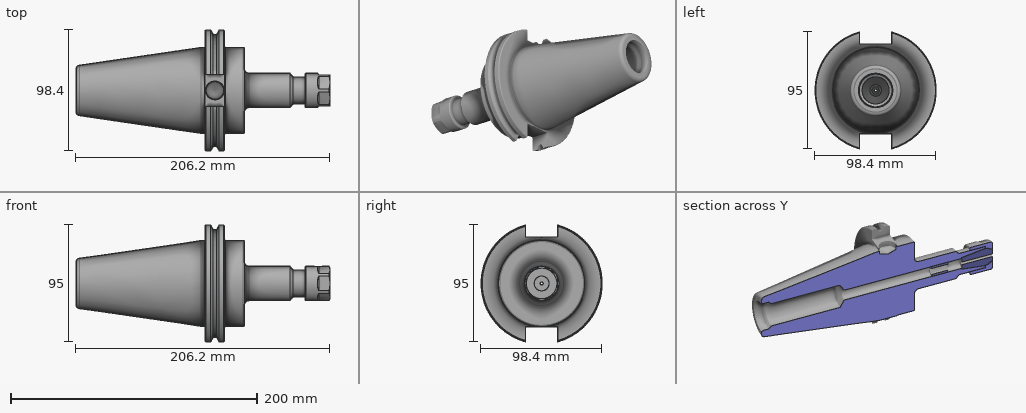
import cadquery as cq
import math


gauge_radius = 69.85 / 2
taper_length = 101.6
taper_ratio = 7 / 24
taper_end_fillet = 3.0
taper_end_radius = gauge_radius - taper_length * taper_ratio / 2
taper_angle = math.atan(taper_ratio / 2)

flange_start = 3.175
flange_end = 19.05
flange_radius = 98.43 / 2
flange_chamfer_rear = 0.6
flange_chamfer_front = 1.0
flange_base_fillet = 0.6
groove_middle = 11.13
groove_floor_radius = 45.6
groove_floor_half_width = 1.4
groove_half_angle = math.radians(30)
groove_half_width = groove_floor_half_width + (flange_radius - groove_floor_radius) * math.tan(groove_half_angle)

slot_width = 25.8
upper_slot_height = 37.72
lower_slot_height = 35.31
dimple_radius = 14.3 / 2
dimple_depth = 5.4
dimple_chamfer = 0.45
dimple_tip_half_angle = math.radians(70)

shoulder_radius = gauge_radius
shoulder_end = 35.0
shoulder_fillet = 0.9
nose_radius = 14.0
nose_fillet = 3.9
nose_end = 72.0
neck_radius = 11.0
neck_start = 74.6

nut_start = 84.3
nut_end = 104.65
nut_radius = nose_radius
nut_rear_chamfer = 0.6
nut_front_chamfer_angle = math.radians(30)
nut_front_face_radius = 12.4
nut_front_chamfer = (nut_radius - nut_front_face_radius) * math.tan(nut_front_chamfer_angle)
hex_across_flats = 25.4
hex_flat_start = 95.5
hex_sides = 6

collet_length = 27.5
collet_start = nut_end - collet_length
collet_rear_radius = 10.97 / 2
collet_radius = 17.01 / 2
collet_face_radius = 12.04 / 2
collet_bore_radius = 2.29 / 2
seat_half_angle = math.radians(8)
collet_front_half_angle = math.radians(30)
seat_end = collet_start + (collet_radius - collet_rear_radius) / math.tan(seat_half_angle)
collet_front_start = nut_end - (collet_radius - collet_face_radius) / math.tan(collet_front_half_angle)

stud_counterbore_radius = 13.3
stud_counterbore_depth = 6.4
stud_mouth_radius = 14.0
stud_mouth_depth = 2.3
stud_bore_radius = 21.97 / 2
stud_bore_depth = 70.0
drill_half_angle = math.radians(59)
screw_radius = 9.46 / 2

screw_start = 50.0
screw_length = 15.0
socket_across_flats = 5.56


def revolve_about_x(points):
    """Closed outline of (x, radius) points turned about the X axis."""
    return cq.Workplane("XY").polyline(points).close().revolve(360, (0, 0, 0), (1, 0, 0))


def holder_outside():
    tangent_length = taper_end_fillet * math.tan((math.pi / 2 - taper_angle) / 2)
    fillet_centre = (-taper_length + taper_end_fillet, taper_end_radius - tangent_length)
    arc_middle_angle = (math.pi + math.pi / 2 + taper_angle) / 2
    arc_middle = (
        fillet_centre[0] + taper_end_fillet * math.cos(arc_middle_angle),
        fillet_centre[1] + taper_end_fillet * math.sin(arc_middle_angle),
    )
    arc_end = (
        -taper_length + tangent_length * math.cos(taper_angle),
        taper_end_radius + tangent_length * math.sin(taper_angle),
    )
    arc_middle_inset = 1 - math.sqrt(0.5)
    base_inset = flange_base_fillet * arc_middle_inset
    shoulder_inset = shoulder_fillet * arc_middle_inset
    nose_inset = nose_fillet * arc_middle_inset
    return (
        cq.Workplane("XY")
        .moveTo(-taper_length, 0)
        .lineTo(-taper_length, fillet_centre[1])
        .threePointArc(arc_middle, arc_end)
        .lineTo(0, gauge_radius)
        .lineTo(flange_start - flange_base_fillet, gauge_radius)
        .threePointArc(
            (flange_start - base_inset, gauge_radius + base_inset),
            (flange_start, gauge_radius + flange_base_fillet),
        )
        .lineTo(flange_start, flange_radius - flange_chamfer_rear)
        .lineTo(flange_start + flange_chamfer_rear, flange_radius)
        .lineTo(groove_middle - groove_half_width, flange_radius)
        .lineTo(groove_middle - groove_floor_half_width, groove_floor_radius)
        .lineTo(groove_middle + groove_floor_half_width, groove_floor_radius)
        .lineTo(groove_middle + groove_half_width, flange_radius)
        .lineTo(flange_end - flange_chamfer_front, flange_radius)
        .lineTo(flange_end, flange_radius - flange_chamfer_front)
        .lineTo(flange_end, shoulder_radius + flange_base_fillet)
        .threePointArc(
            (flange_end + base_inset, shoulder_radius + base_inset),
            (flange_end + flange_base_fillet, shoulder_radius),
        )
        .lineTo(shoulder_end - shoulder_fillet, shoulder_radius)
        .threePointArc(
            (shoulder_end - shoulder_inset, shoulder_radius - shoulder_inset),
            (shoulder_end, shoulder_radius - shoulder_fillet),
        )
        .lineTo(shoulder_end, nose_radius + nose_fillet)
        .threePointArc(
            (shoulder_end + nose_inset, nose_radius + nose_inset),
            (shoulder_end + nose_fillet, nose_radius),
        )
        .lineTo(nose_end, nose_radius)
        .lineTo(neck_start, neck_radius)
        .lineTo(seat_end, neck_radius)
        .lineTo(seat_end, 0)
        .close()
        .revolve(360, (0, 0, 0), (1, 0, 0))
    )


def holder_bore():
    counterbore_end = -taper_length + stud_counterbore_depth
    bore_end = -taper_length + stud_bore_depth
    drill_tip_length = (stud_bore_radius - screw_radius) / math.tan(drill_half_angle)
    return revolve_about_x([
        (-taper_length, 0),
        (-taper_length, stud_mouth_radius),
        (-taper_length + stud_mouth_depth, stud_counterbore_radius),
        (counterbore_end, stud_counterbore_radius),
        (counterbore_end + stud_counterbore_radius - stud_bore_radius, stud_bore_radius),
        (bore_end, stud_bore_radius),
        (bore_end + drill_tip_length, screw_radius),
        (collet_start, screw_radius),
        (collet_start, collet_rear_radius),
        (seat_end, collet_radius),
        (seat_end, 0),
    ])


def drive_slot(floor_height, side):
    """Block that cuts one slot through the flange and its base fillets; side +1 is up, -1 is down."""
    depth = flange_radius - floor_height
    length = flange_end - flange_start + 2 * flange_base_fillet
    return cq.Workplane("XY").box(length, slot_width, depth).translate(
        ((flange_start + flange_end) / 2, 0, side * (floor_height + depth / 2))
    )


def dimple():
    floor_height = upper_slot_height - dimple_depth
    tip_height = floor_height - dimple_radius / math.tan(dimple_tip_half_angle)
    return (
        cq.Workplane("XZ")
        .polyline([
            (0, upper_slot_height),
            (dimple_radius + dimple_chamfer, upper_slot_height),
            (dimple_radius, upper_slot_height - dimple_chamfer),
            (dimple_radius, floor_height),
            (0, tip_height),
        ])
        .close()
        .revolve(360, (0, 0, 0), (0, 1, 0))
        .translate((groove_middle, 0, 0))
    )


def make_holder():
    return (
        holder_outside()
        .cut(holder_bore())
        .cut(drive_slot(upper_slot_height, 1))
        .cut(drive_slot(lower_slot_height, -1))
        .cut(dimple())
    )


def make_screw():
    socket_corner_diameter = socket_across_flats / math.cos(math.pi / hex_sides)
    return (
        cq.Workplane("YZ", origin=(screw_start, 0, 0))
        .circle(screw_radius)
        .polygon(hex_sides, socket_corner_diameter)
        .extrude(screw_length)
    )


def make_collet():
    return revolve_about_x([
        (collet_start, collet_bore_radius),
        (collet_start, collet_rear_radius),
        (seat_end, collet_radius),
        (collet_front_start, collet_radius),
        (nut_end, collet_face_radius),
        (nut_end, collet_bore_radius),
    ])


def wrench_flat():
    """Wedge that cuts the flat facing -Y, with a 45 degree run-out at its rear end."""
    flat_height = hex_across_flats / 2
    flat_depth = nut_radius - flat_height
    return (
        cq.Workplane("XY")
        .polyline([
            (hex_flat_start, -flat_height),
            (nut_end, -flat_height),
            (nut_end, -nut_radius),
            (hex_flat_start - flat_depth, -nut_radius),
        ])
        .close()
        .extrude(nut_radius, both=True)
    )


def make_nut():
    nut = revolve_about_x([
        (nut_start, neck_radius),
        (nut_start, nut_radius - nut_rear_chamfer),
        (nut_start + nut_rear_chamfer, nut_radius),
        (nut_end - nut_front_chamfer, nut_radius),
        (nut_end, nut_front_face_radius),
        (nut_end, collet_face_radius),
        (collet_front_start, collet_radius),
        (seat_end, collet_radius),
        (seat_end, neck_radius),
    ])
    for side in range(hex_sides):
        nut = nut.cut(wrench_flat().rotate((0, 0, 0), (1, 0, 0), side * 360 / hex_sides))
    return nut


holder = make_holder()
screw = make_screw()
collet = make_collet()
nut = make_nut()

result = cq.Compound.makeCompound([holder.val(), screw.val(), collet.val(), nut.val()])